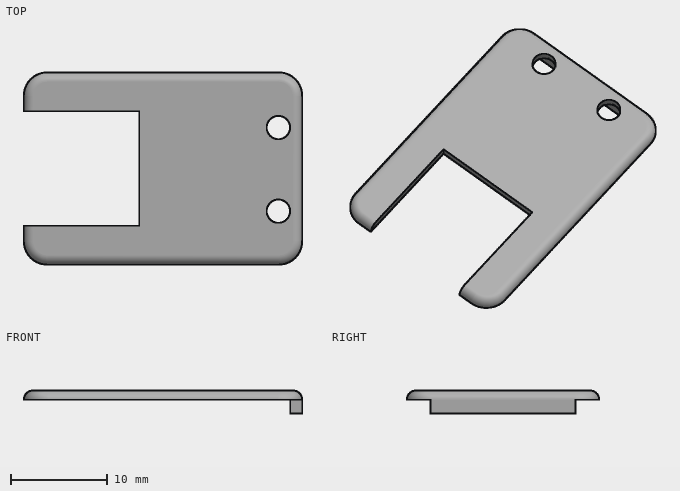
import cadquery as cq

length = 28.9
width = 19.97
plate_thickness = 0.98
corner_radius = 2.45
edge_radius = plate_thickness

slot_depth = 11.96
slot_width = 11.85

hole_diameter = 2.4
hole_from_end = 2.49
hole_spacing = 8.67
hole_row_shift = -0.1

total_height = 2.43
rib_height = total_height - plate_thickness
rib_thickness = 1.27
rib_width = width - 2 * corner_radius


def rounded_plate():
    """Plate with a quarter-round edge, cut from a taller block so the round can reach its bottom face."""
    block = (
        cq.Workplane("XY")
        .workplane(offset=-plate_thickness)
        .rect(length, width)
        .extrude(2 * plate_thickness)
        .edges("|Z")
        .fillet(corner_radius)
        .faces(">Z")
        .edges()
        .fillet(edge_radius)
    )
    lower_half = cq.Workplane("XY").rect(length, width).extrude(-plate_thickness)
    return block.cut(lower_half)


def end_slot():
    return (
        cq.Workplane("XY")
        .center((slot_depth - length) / 2, 0)
        .rect(slot_depth, slot_width)
        .extrude(plate_thickness)
    )


def holes():
    return (
        cq.Workplane("XY")
        .center(length / 2 - hole_from_end, hole_row_shift)
        .rarray(0.3, hole_spacing, 1, 2)
        .circle(hole_diameter / 2)
        .extrude(plate_thickness)
    )


def end_rib():
    return (
        cq.Workplane("XY")
        .center((length - rib_thickness) / 2, 0)
        .rect(rib_thickness, rib_width)
        .extrude(-rib_height)
    )


result = rounded_plate().cut(end_slot()).cut(holes()).union(end_rib())